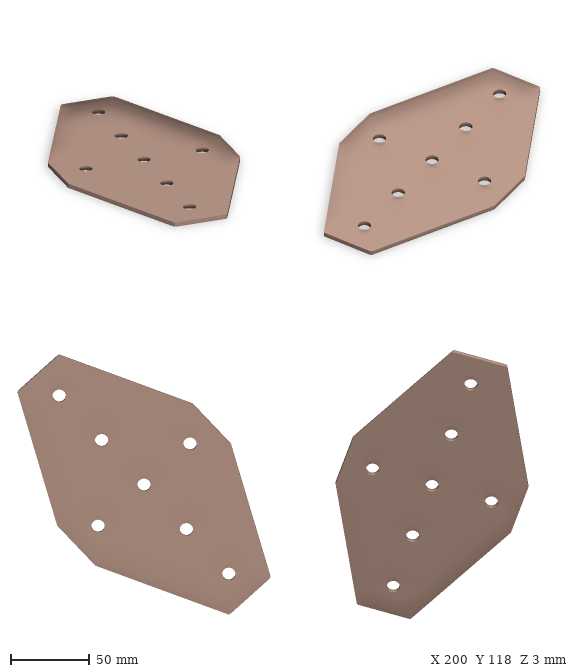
import cadquery as cq

length = 200.0
width = 118.0
thickness = 3.0
end_edge = 36.0
side_edge = 36.0
corner_radius = 2.0

hole_diameter = 8.5
hole_pitch = 40.0
holes_each_way_x = 2
holes_each_way_y = 1


def make_plate():
    """Elongated octagon with lightly rounded corners, centred on the origin."""
    half_x = length / 2
    half_y = width / 2
    half_end = end_edge / 2
    half_side = side_edge / 2
    outline = [
        (half_x, -half_end),
        (half_x, half_end),
        (half_side, half_y),
        (-half_side, half_y),
        (-half_x, half_end),
        (-half_x, -half_end),
        (-half_side, -half_y),
        (half_side, -half_y),
    ]
    plate = cq.Workplane("XY").polyline(outline).close().extrude(thickness)
    return plate.edges("|Z").fillet(corner_radius)


def hole_centres():
    """Cross of evenly pitched holes sharing the centre hole."""
    row = [(i * hole_pitch, 0) for i in range(-holes_each_way_x, holes_each_way_x + 1)]
    column = [(0, i * hole_pitch) for i in range(-holes_each_way_y, holes_each_way_y + 1) if i != 0]
    return row + column


def drill_holes(plate):
    """Drill every hole straight through the plate."""
    return plate.faces(">Z").workplane().pushPoints(hole_centres()).hole(hole_diameter)


result = drill_holes(make_plate())